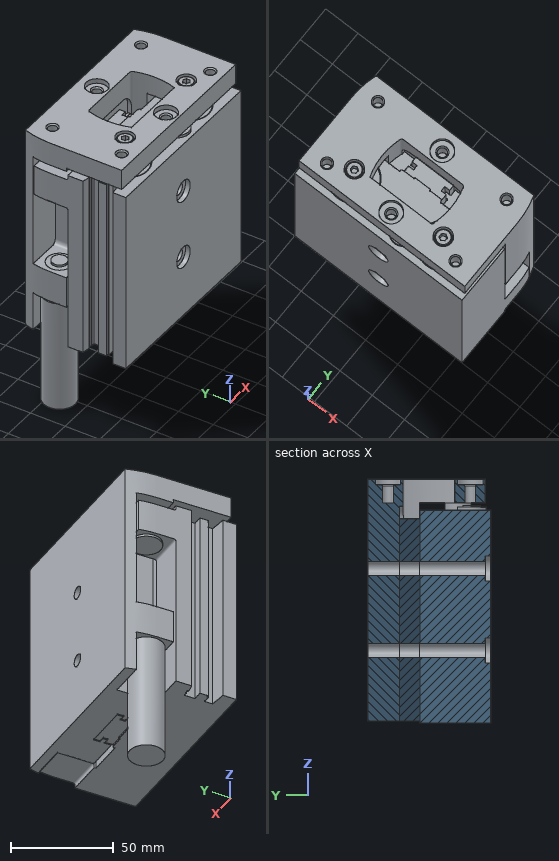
import cadquery as cq
import math


HOUSING_HALF_WIDTH = 52.0
HOUSING_HEIGHT = 103.7
HOUSING_BACK = 32.6
SLIDE_HALF_WIDTH = 51.5
SLIDE_FRONT = 34.7
SLIDE_BACK = 60.0
SLIDE_BOTTOM = 1.0
SLIDE_TOP = 118.8
SIDE_ARC_START = 44.3
SIDE_ARC_RADIUS = 49.8

FIXING_HOLE_DIAMETER = 6.6
FIXING_PITCH = 40.0
FIXING_LOW_Z = 35.3
FIXING_HEIGHTS = (FIXING_LOW_Z, FIXING_LOW_Z + FIXING_PITCH)
SPOTFACE_DIAMETER = 12.0
SPOTFACE_DEPTH = 2.7

ROD_X = 27.6
ROD_Y = 16.0
ROD_DIAMETER = 12.8
ROD_BOTTOM = 16.0
SCREW_NECK_DIAMETER = 5.6
SCREW_HEAD_DIAMETER = 8.5
SCREW_HEAD_BOTTOM = 113.2
SCREW_HEAD_TOP = 118.1
SCREW_HEAD_CHAMFER = 0.5
SCREW_HOLE_DIAMETER = 10.0
HEX_CORNER_DIAMETER = 4.0
HEX_DEPTH = 4.0
HEX_TURN = 30

SHOCK_X = -42.2
SHOCK_Y = 44.6
SHOCK_DIAMETER = 18.3
SHOCK_NECK_DIAMETER = 14.0
SHOCK_TIP_DIAMETER = 8.5
SHOCK_BOTTOM = SLIDE_TOP - 160.5
SHOCK_SHOULDER = 22.1
SHOCK_TIP_HEIGHT = 1.1
SLIDE_LUG_BOTTOM = 23.1
SLIDE_LUG_TOP = 41.0

RAIL_HALF_WIDTH = 11.7
RAIL_FRONT = 34.0
RAIL_BACK = 44.5
RAIL_TOP = 99.5
RAIL_KEY_HALF_WIDTH = 4.8
BALL_GROOVE_FLOOR = 8.7
BALL_GROOVE_FRONT = 38.4
BALL_GROOVE_BACK = 41.1


def box(x0, x1, y0, y1, z0, z1):
    """Box between the given limits."""
    return cq.Workplane("XY").box(x1 - x0, y1 - y0, z1 - z0, centered=False).translate((x0, y0, z0))


def upright_cylinder(x, y, diameter, z0, z1):
    """Cylinder along Z between two heights."""
    return cq.Workplane("XY", origin=(x, y, z0)).circle(diameter / 2).extrude(z1 - z0)


def upright_cone(x, y, bottom_diameter, top_diameter, z0, z1):
    """Truncated cone along Z between two heights."""
    base = cq.Vector(x, y, z0)
    cone = cq.Solid.makeCone(bottom_diameter / 2, top_diameter / 2, z1 - z0, base, cq.Vector(0, 0, 1))
    return cq.Workplane(obj=cone)


def fixing_holes():
    """Long cylinders along Y where the mounting screws pass through housing, rail and slide."""
    holes = cq.Workplane("XZ").pushPoints([(0, z) for z in FIXING_HEIGHTS])
    return holes.circle(FIXING_HOLE_DIAMETER / 2).extrude(-2 * SLIDE_BACK, both=True)


def arc_inset(y):
    """How far the curved side lies inside the flat side at a given Y."""
    rise = max(y - SIDE_ARC_START, 0)
    return SIDE_ARC_RADIUS - math.sqrt(SIDE_ARC_RADIUS**2 - rise**2)


def curved_plan(half_width, front, back):
    """Closed plan outline whose two sides bend inward towards the back."""
    middle = (SIDE_ARC_START + back) / 2
    mid_x = half_width - arc_inset(middle)
    back_x = half_width - arc_inset(back)
    return (
        cq.Workplane("XY")
        .moveTo(-half_width, front)
        .lineTo(half_width, front)
        .lineTo(half_width, SIDE_ARC_START)
        .threePointArc((mid_x, middle), (back_x, back))
        .lineTo(-back_x, back)
        .threePointArc((-mid_x, middle), (-half_width, SIDE_ARC_START))
        .close()
    )


LUG_BACK = 53.6
LUG_INNER_X = 32.1
LEFT_LUG_BOTTOM = 83.8
LEFT_LUG_TOP = 101.0
LUG_HEIGHT = LEFT_LUG_TOP - LEFT_LUG_BOTTOM
RIGHT_LUG_BOTTOM = HOUSING_HEIGHT - LEFT_LUG_TOP
LUG_ROOT_RADIUS = 1.1
SIDE_PAD_BACK = 33.5
STOP_PAD_DIAMETER = 16.0
STOP_PAD_HEIGHT = 1.3

FRONT_SLOT_FRONT = 7.5
FRONT_SLOT_BACK = 13.6
FRONT_SLOT_FLOOR_FRONT = 8.5
FRONT_SLOT_FLOOR_BACK = 13.0
SLOT_RIB_BACK = 18.3
SLOT_MOUTH_BACK = 24.9
SLOT_WALL = 24.0
SLOT_RIB_SETBACK = 3.7
SLOT_STEP_DEPTH = 5.0
SLOT_DEPTH = 8.8
WALL_NOTCH_START = 5.0
WALL_NOTCH_END = 6.9
WALL_NOTCH_DEPTH = 0.5

RAIL_PAD_HALF_WIDTH = 12.7
RAIL_PAD_CHAMFER = 0.8
BEARING_DIAMETER = 25.0
BEARING_RECESS_DEPTH = 0.8
BEARING_CHAMFER = 0.5
BUFFER_X = 8.3
BUFFER_Y = 9.3
BUFFER_DIAMETER = 14.1
BUFFER_HEIGHT = 1.5
BUFFER_TIP_DIAMETER = 8.5
BUFFER_TIP_HEIGHT = 2.1


def stop_lug(right, bottom):
    """Lug behind one side of the housing, with hollow roots where it leaves its side pad."""
    top = bottom + LUG_HEIGHT
    lug = (
        cq.Workplane("YZ")
        .moveTo(SIDE_PAD_BACK, bottom - LUG_ROOT_RADIUS)
        .radiusArc((SIDE_PAD_BACK + LUG_ROOT_RADIUS, bottom), LUG_ROOT_RADIUS)
        .lineTo(LUG_BACK, bottom)
        .lineTo(LUG_BACK, top)
        .lineTo(SIDE_PAD_BACK + LUG_ROOT_RADIUS, top)
        .radiusArc((SIDE_PAD_BACK, top + LUG_ROOT_RADIUS), LUG_ROOT_RADIUS)
        .close()
        .extrude(HOUSING_HALF_WIDTH - LUG_INNER_X)
    )
    lug = lug.translate((LUG_INNER_X if right else -HOUSING_HALF_WIDTH, 0, 0))
    plan = curved_plan(HOUSING_HALF_WIDTH, SIDE_PAD_BACK, LUG_BACK).extrude(HOUSING_HEIGHT)
    return lug.intersect(plan)


def sensor_slots():
    """Two sensor slots along the left side with a set-back rib between them."""
    side = -HOUSING_HALF_WIDTH
    floor = side + SLOT_DEPTH
    step = side + SLOT_STEP_DEPTH
    lip_rise = SLOT_MOUTH_BACK - SLOT_WALL
    lip_radius = (WALL_NOTCH_START**2 + lip_rise**2) / (2 * lip_rise)
    return (
        cq.Workplane("XY")
        .moveTo(side, FRONT_SLOT_FRONT)
        .lineTo(floor, FRONT_SLOT_FLOOR_FRONT)
        .lineTo(floor, FRONT_SLOT_FLOOR_BACK)
        .lineTo(step, FRONT_SLOT_FLOOR_BACK)
        .lineTo(step, FRONT_SLOT_BACK)
        .lineTo(side + SLOT_RIB_SETBACK, FRONT_SLOT_BACK)
        .lineTo(side + SLOT_RIB_SETBACK, SLOT_RIB_BACK)
        .lineTo(floor, SLOT_RIB_BACK)
        .lineTo(floor, SLOT_WALL)
        .lineTo(side + WALL_NOTCH_END, SLOT_WALL)
        .lineTo(side + WALL_NOTCH_END, SLOT_WALL + WALL_NOTCH_DEPTH)
        .lineTo(side + WALL_NOTCH_START, SLOT_WALL + WALL_NOTCH_DEPTH)
        .lineTo(side + WALL_NOTCH_START, SLOT_WALL)
        .radiusArc((side, SLOT_MOUTH_BACK), lip_radius)
        .close()
        .extrude(HOUSING_HEIGHT)
    )


def make_housing():
    body = box(-HOUSING_HALF_WIDTH, HOUSING_HALF_WIDTH, 0, HOUSING_BACK, 0, HOUSING_HEIGHT)
    for x in (-HOUSING_HALF_WIDTH, LUG_INNER_X):
        pad_end = x + HOUSING_HALF_WIDTH - LUG_INNER_X
        body = body.union(box(x, pad_end, HOUSING_BACK, SIDE_PAD_BACK, 0, HOUSING_HEIGHT))
    body = body.cut(sensor_slots())
    body = body.union(stop_lug(False, LEFT_LUG_BOTTOM)).union(stop_lug(True, RIGHT_LUG_BOTTOM))
    pad_bottom = LEFT_LUG_BOTTOM - STOP_PAD_HEIGHT
    body = body.union(upright_cylinder(SHOCK_X, SHOCK_Y, STOP_PAD_DIAMETER, pad_bottom, LEFT_LUG_BOTTOM))

    body = body.union(
        box(-RAIL_PAD_HALF_WIDTH, RAIL_PAD_HALF_WIDTH, HOUSING_BACK, RAIL_FRONT, 0, HOUSING_HEIGHT)
        .edges("|Z and >Y").chamfer(RAIL_PAD_CHAMFER)
    )
    body = body.union(
        box(-RAIL_KEY_HALF_WIDTH, RAIL_KEY_HALF_WIDTH, HOUSING_BACK, SLIDE_FRONT, 0, HOUSING_HEIGHT)
    )

    buffer = upright_cylinder(BUFFER_X, BUFFER_Y, BUFFER_DIAMETER, 0, BUFFER_HEIGHT)
    buffer = buffer.union(upright_cylinder(BUFFER_X, BUFFER_Y, BUFFER_TIP_DIAMETER, 0, BUFFER_TIP_HEIGHT))
    body = body.union(buffer.translate((0, 0, HOUSING_HEIGHT)))

    recess_floor = HOUSING_HEIGHT - BEARING_RECESS_DEPTH
    for x in (-ROD_X, ROD_X):
        body = body.cut(upright_cylinder(x, ROD_Y, ROD_DIAMETER, ROD_BOTTOM, HOUSING_HEIGHT))
        body = body.cut(upright_cylinder(x, ROD_Y, BEARING_DIAMETER, recess_floor, HOUSING_HEIGHT))
        mouth_diameter = BEARING_DIAMETER + 2 * BEARING_CHAMFER
        mouth_bottom = HOUSING_HEIGHT - BEARING_CHAMFER
        body = body.cut(
            upright_cone(x, ROD_Y, BEARING_DIAMETER, mouth_diameter, mouth_bottom, HOUSING_HEIGHT)
        )

    spotfaces = cq.Workplane("XZ").pushPoints([(0, z) for z in FIXING_HEIGHTS])
    spotfaces = spotfaces.circle(SPOTFACE_DIAMETER / 2).extrude(-SPOTFACE_DEPTH)
    return body.cut(fixing_holes()).cut(spotfaces)


YOKE_FRONT = 2.7
YOKE_BOTTOM = 107.2
TABLE_FRONT = 54.5
POCKET_INNER_X = 30.5
POCKET_TOP = 105.5
RIGHT_POCKET_TOP = SLIDE_LUG_TOP
POCKET_RADIUS = 2.5

WINDOW_FRONT = 17.7
WINDOW_BACK = 42.7
WINDOW_END_HALF_WIDTH = 19.3
WINDOW_MID_HALF_WIDTH = 21.3
WINDOW_CORNER_RADIUS = 1.5

WINDOW_FLOOR = 93.1
CHANNEL_HALF_WIDTH = 12.5
TONGUE_TIP = 9.5
TONGUE_CLEARANCE = 0.2
RAIL_END_HALF_WIDTH = 19.1
RAIL_END_RADIUS = 7.2

YOKE_HOLE_X = 40.0
YOKE_HOLE_FRONT_Y = 10.1
YOKE_HOLE_ROWS = (YOKE_HOLE_FRONT_Y, YOKE_HOLE_FRONT_Y + FIXING_PITCH)
CORNER_HOLE_DEPTH = 9.6
YOKE_HOLE_DIAMETER = 5.0
YOKE_HOLE_MOUTH_DIAMETER = 6.5


def side_pocket(bottom, top, rounded):
    """Pocket open to the left and front, rounded where the chosen edges meet its inner wall."""
    pocket = box(-2 * SLIDE_HALF_WIDTH, -POCKET_INNER_X, 0, TABLE_FRONT, bottom, top)
    return pocket.edges(rounded).fillet(POCKET_RADIUS)


def yoke_window():
    """Window through the yoke with bowed ends; it stops a little below the rail top."""
    middle = (WINDOW_FRONT + WINDOW_BACK) / 2
    return (
        cq.Workplane("XY", origin=(0, 0, WINDOW_FLOOR))
        .moveTo(-WINDOW_END_HALF_WIDTH, WINDOW_FRONT)
        .lineTo(WINDOW_END_HALF_WIDTH, WINDOW_FRONT)
        .threePointArc((WINDOW_MID_HALF_WIDTH, middle), (WINDOW_END_HALF_WIDTH, WINDOW_BACK))
        .lineTo(-WINDOW_END_HALF_WIDTH, WINDOW_BACK)
        .threePointArc((-WINDOW_MID_HALF_WIDTH, middle), (-WINDOW_END_HALF_WIDTH, WINDOW_FRONT))
        .close()
        .extrude(SLIDE_TOP - WINDOW_FLOOR)
        .edges("|Z and >Y").fillet(WINDOW_CORNER_RADIUS)
    )


def rail_channel():
    """Channel for the rail, less the two tongues that run in its ball grooves."""
    channel = box(-CHANNEL_HALF_WIDTH, CHANNEL_HALF_WIDTH, 0, RAIL_BACK, 0, WINDOW_FLOOR)
    tongue_front = BALL_GROOVE_FRONT + TONGUE_CLEARANCE
    tongue_back = BALL_GROOVE_BACK - TONGUE_CLEARANCE
    for x0, x1 in ((-CHANNEL_HALF_WIDTH, -TONGUE_TIP), (TONGUE_TIP, CHANNEL_HALF_WIDTH)):
        channel = channel.cut(box(x0, x1, tongue_front, tongue_back, 0, WINDOW_FLOOR))
    rail_end = box(-RAIL_END_HALF_WIDTH, RAIL_END_HALF_WIDTH, 0, RAIL_BACK, WINDOW_FLOOR, POCKET_TOP)
    return channel.union(rail_end.edges("|Y and >Z").fillet(RAIL_END_RADIUS))


def yoke_holes():
    """Six threaded holes with chamfered mouths, the middle two spotfaced, and the rod screw holes."""
    mouth_depth = (YOKE_HOLE_MOUTH_DIAMETER - YOKE_HOLE_DIAMETER) / 2
    cutters = cq.Workplane("XY")
    for y in YOKE_HOLE_ROWS:
        for x in (-YOKE_HOLE_X, 0, YOKE_HOLE_X):
            top = SLIDE_TOP if x else SLIDE_TOP - SPOTFACE_DEPTH
            bottom = SLIDE_TOP - CORNER_HOLE_DEPTH if x else YOKE_BOTTOM
            cutters = cutters.union(upright_cylinder(x, y, YOKE_HOLE_DIAMETER, bottom, top))
            cutters = cutters.union(
                upright_cone(x, y, YOKE_HOLE_DIAMETER, YOKE_HOLE_MOUTH_DIAMETER, top - mouth_depth, top)
            )
        cutters = cutters.union(
            upright_cylinder(0, y, SPOTFACE_DIAMETER, SLIDE_TOP - SPOTFACE_DEPTH, SLIDE_TOP)
        )
    for x in (-ROD_X, ROD_X):
        cutters = cutters.union(upright_cylinder(x, ROD_Y, SCREW_NECK_DIAMETER, YOKE_BOTTOM, SLIDE_TOP))
        cutters = cutters.union(
            upright_cylinder(x, ROD_Y, SCREW_HOLE_DIAMETER, SCREW_HEAD_BOTTOM, SLIDE_TOP)
        )
    return cutters


def make_slide():
    body = curved_plan(SLIDE_HALF_WIDTH, YOKE_FRONT, SLIDE_BACK).extrude(SLIDE_TOP - SLIDE_BOTTOM)
    body = body.translate((0, 0, SLIDE_BOTTOM))
    body = body.cut(
        box(-SLIDE_HALF_WIDTH, SLIDE_HALF_WIDTH, 0, SLIDE_FRONT, SLIDE_BOTTOM, YOKE_BOTTOM)
    )
    body = body.cut(side_pocket(SLIDE_LUG_TOP, POCKET_TOP, "|Y and >X"))
    body = body.cut(side_pocket(0, SLIDE_LUG_BOTTOM, "|Y and >X and >Z"))
    body = body.cut(side_pocket(0, RIGHT_POCKET_TOP, "|Y and >X and >Z").mirror("YZ"))
    body = body.cut(yoke_window()).cut(rail_channel()).cut(yoke_holes())
    body = body.cut(upright_cylinder(SHOCK_X, SHOCK_Y, SHOCK_NECK_DIAMETER, 0, SLIDE_LUG_TOP))
    return body.cut(fixing_holes())


def make_rail():
    rail = box(-RAIL_HALF_WIDTH, RAIL_HALF_WIDTH, RAIL_FRONT, RAIL_BACK, SLIDE_BOTTOM, RAIL_TOP)
    rail = rail.cut(
        box(-RAIL_KEY_HALF_WIDTH, RAIL_KEY_HALF_WIDTH, RAIL_FRONT, SLIDE_FRONT, 0, RAIL_TOP)
    )
    for x0, x1 in ((-RAIL_HALF_WIDTH, -BALL_GROOVE_FLOOR), (BALL_GROOVE_FLOOR, RAIL_HALF_WIDTH)):
        rail = rail.cut(box(x0, x1, BALL_GROOVE_FRONT, BALL_GROOVE_BACK, 0, RAIL_TOP))
    return rail.cut(fixing_holes())


def make_rod(x):
    """Piston rod ending in a socket-head screw end that holds the yoke."""
    rod = upright_cylinder(x, ROD_Y, ROD_DIAMETER, ROD_BOTTOM, YOKE_BOTTOM)
    rod = rod.union(upright_cylinder(x, ROD_Y, SCREW_NECK_DIAMETER, YOKE_BOTTOM, SCREW_HEAD_BOTTOM))
    head = upright_cylinder(x, ROD_Y, SCREW_HEAD_DIAMETER, SCREW_HEAD_BOTTOM, SCREW_HEAD_TOP)
    rod = rod.union(head.faces(">Z").edges().chamfer(SCREW_HEAD_CHAMFER))
    socket = cq.Workplane("XY", origin=(x, ROD_Y, SCREW_HEAD_TOP)).transformed(rotate=(0, 0, HEX_TURN))
    return rod.cut(socket.polygon(6, HEX_CORNER_DIAMETER).extrude(-HEX_DEPTH))


def make_shock_absorber():
    tip_top = SLIDE_LUG_TOP + SHOCK_TIP_HEIGHT
    shock = upright_cylinder(SHOCK_X, SHOCK_Y, SHOCK_DIAMETER, SHOCK_BOTTOM, SHOCK_SHOULDER)
    shock = shock.union(
        upright_cylinder(SHOCK_X, SHOCK_Y, SHOCK_NECK_DIAMETER, SHOCK_SHOULDER, SLIDE_LUG_TOP)
    )
    return shock.union(upright_cylinder(SHOCK_X, SHOCK_Y, SHOCK_TIP_DIAMETER, SLIDE_LUG_TOP, tip_top))


housing = make_housing()
slide = make_slide()
rail = make_rail()
rods = [make_rod(x) for x in (-ROD_X, ROD_X)]
shock_absorber = make_shock_absorber()

result = cq.Compound.makeCompound(
    [
        housing.solids().val(),
        slide.solids().val(),
        rail.solids().val(),
        *[rod.solids().val() for rod in rods],
        shock_absorber.solids().val(),
    ]
)